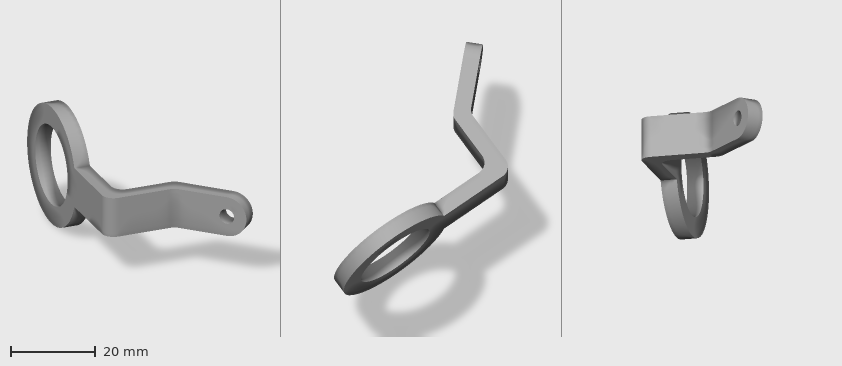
import cadquery as cq
import math

ring_diameter = 30.0
bore_diameter = 20.0
thickness = 4.0
arm_width = 10.0
bend_radius = 3.0
length_x = 62.1
depth_y = 33.15
riser_x = 34.1
hole_diameter = 3.7
tilt = math.radians(45)

ring_radius = ring_diameter / 2
tip_radius = arm_width / 2
outer_tip_x = length_x - ring_radius
outer_tip_y = depth_y - thickness * math.cos(tilt)
inner_tip_x = outer_tip_x - thickness * math.sin(tilt)
riser_inner_x = riser_x - thickness
outer_bend_y = outer_tip_y - (outer_tip_x - riser_x) * math.tan(tilt)
inner_bend_y = depth_y - (inner_tip_x - riser_inner_x) * math.tan(tilt)


def extrude_along_y(sketch):
    """Extrude an XZ sketch from Y = 0 to the back face of the ring."""
    return sketch.extrude(-thickness)


def bent_arm():
    """Constant-thickness strip: straight arm, riser and tilted tab."""
    strip = (
        cq.Workplane("XY")
        .workplane(offset=-arm_width / 2)
        .polyline([
            (0, 0),
            (riser_x, 0),
            (riser_x, outer_bend_y),
            (outer_tip_x, outer_tip_y),
            (inner_tip_x, depth_y),
            (riser_inner_x, inner_bend_y),
            (riser_inner_x, thickness),
            (0, thickness),
        ])
        .close()
        .extrude(arm_width)
    )
    bend_corners = [
        (riser_x, 0),
        (riser_x, outer_bend_y),
        (riser_inner_x, inner_bend_y),
        (riser_inner_x, thickness),
    ]
    for x, y in bend_corners:
        corner = cq.selectors.NearestToPointSelector((x, y, 0))
        strip = strip.edges("|Z").edges(corner).fillet(bend_radius)
    return strip


def tab_plane():
    """Plane on the tab's outer face, centred on the rounded end's axis."""
    along_tab = cq.Vector(math.cos(tilt), math.sin(tilt), 0)
    tab_normal = cq.Vector(-math.sin(tilt), math.cos(tilt), 0)
    centre = cq.Vector(outer_tip_x, outer_tip_y, 0) - along_tab * tip_radius
    return cq.Plane(origin=centre, xDir=along_tab, normal=tab_normal)


ring = extrude_along_y(cq.Workplane("XZ").circle(ring_radius))
bore = extrude_along_y(cq.Workplane("XZ").circle(bore_diameter / 2))

square_end = (
    cq.Workplane(tab_plane())
    .center(tip_radius / 2, 0)
    .rect(tip_radius, arm_width)
    .extrude(thickness)
)
round_end = cq.Workplane(tab_plane()).circle(tip_radius).extrude(thickness)
arm = bent_arm().cut(square_end).union(round_end)
tab_hole = cq.Workplane(tab_plane()).circle(hole_diameter / 2).extrude(thickness)

result = ring.union(arm).cut(bore).cut(tab_hole)